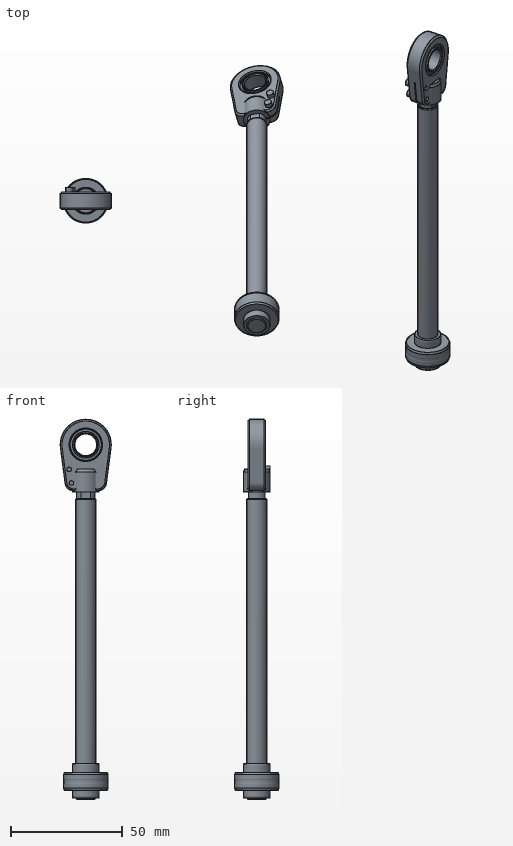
import cadquery as cq
import math

TOTAL_HEIGHT = 170.37
EYE_RADIUS = 11.45
EYE_Z = TOTAL_HEIGHT - EYE_RADIUS

HEAD_THICKNESS = 8.0
HEAD_EDGE_CHAMFER = 0.8
HEAD_TAPER_ANGLE = 7.5
HEAD_CORNER_RADIUS = 4.0
HEAD_BOTTOM_Z = 138.3

EYE_BORE_DIAMETER = 9.8
EYE_BORE_CHAMFER = 0.5
EYE_BALL_FACE_DIAMETER = 12.0
EYE_RACE_DIAMETER = 15.0
EYE_RACE_CHAMFER = 0.5
EYE_GROOVE_DEPTH = 1.0

BOSS_DIAMETER = 12.0
BOSS_BOTTOM_Z = 137.8
BOSS_TOP_Z = 148.0
BOSS_SIDE_FILLET = 0.4
BOSS_TOP_CHAMFER = 0.6
BOSS_TOP_CHAMFER_HEIGHT = 1.2

SLOT_WIDTH = 0.6
SLOT_TOP_Z = 150.8
SLOT_END_X = -4.5
SCREW_CENTRES = [(-7.4, 147.9), (-6.4, 141.8)]
SCREW_HEAD_DIAMETER = 3.2
SCREW_HEAD_HEIGHT = 2.0
SCREW_HEAD_OVERLAP = 1.0
SCREW_HOLE_DIAMETER = 2.0
SCREW_HOLE_DEPTH = 1.0

ROD_DIAMETER = 9.0
ROD_TOP_Z = 134.9
ROD_CHAMFER = 0.5
NECK_DIAMETER = 8.5
NECK_FLAT_WIDTH = 7.4

SLEEVE_DIAMETER = 12.0
SLEEVE_BOTTOM_Z = 0.5
SLEEVE_TOP_Z = 16.0
SLEEVE_CHAMFER_HEIGHT = 0.8
SLEEVE_CHAMFER = 0.2
RING_DIAMETER = 20.0
RING_WIDTH = 8.0
RING_MIDDLE_Z = 8.0
RING_CHAMFER_HEIGHT = 1.0
RING_CHAMFER = 0.4
RING_GROOVE_DIAMETER = 19.8
RING_GROOVE_WIDTH = 2.0
RING_GROOVE_FLOOR_WIDTH = 1.0


def rod_cylinder(diameter, bottom, top):
    """Cylinder on the rod axis between two heights."""
    return cq.Workplane("XY").workplane(offset=bottom).circle(diameter / 2).extrude(top - bottom)


def cross_cylinder(x, z, diameter, y_start, y_end):
    """Cylinder parallel to Y between two Y positions."""
    plane = cq.Plane(origin=(x, y_start, z), xDir=(1, 0, 0), normal=(0, 1, 0))
    return cq.Workplane(plane).circle(diameter / 2).extrude(y_end - y_start)


def make_head_plate():
    """Teardrop plate: round eye, tapering sides tangent to it and rounded lower corners."""
    taper = math.radians(HEAD_TAPER_ANGLE)
    tangent_x = EYE_RADIUS * math.cos(taper)
    tangent_z = EYE_Z - EYE_RADIUS * math.sin(taper)
    bottom_x = tangent_x - (tangent_z - HEAD_BOTTOM_Z) * math.tan(taper)
    plate = (
        cq.Workplane("XZ")
        .moveTo(-bottom_x, HEAD_BOTTOM_Z)
        .lineTo(bottom_x, HEAD_BOTTOM_Z)
        .lineTo(tangent_x, tangent_z)
        .threePointArc((0, EYE_Z + EYE_RADIUS), (-tangent_x, tangent_z))
        .close()
        .extrude(HEAD_THICKNESS / 2, both=True)
    )
    plate = plate.edges("|Y").edges("<Z").fillet(HEAD_CORNER_RADIUS)
    return plate.faces("<Y or >Y").edges().chamfer(HEAD_EDGE_CHAMFER)


def make_boss():
    """Round shank boss, bevelled at its upper end."""
    boss = rod_cylinder(BOSS_DIAMETER, BOSS_BOTTOM_Z, BOSS_TOP_Z)
    return boss.faces(">Z").chamfer(BOSS_TOP_CHAMFER_HEIGHT, BOSS_TOP_CHAMFER)


def fillet_boss_sides(head):
    """Small fillets where the sides of the boss leave the flat faces of the head plate."""
    half = HEAD_THICKNESS / 2
    half_chord = math.sqrt((BOSS_DIAMETER / 2) ** 2 - half**2)
    sides = cq.selectors.BoxSelector(
        (-half_chord - BOSS_SIDE_FILLET, -half - BOSS_SIDE_FILLET, HEAD_BOTTOM_Z),
        (half_chord + BOSS_SIDE_FILLET, half + BOSS_SIDE_FILLET, BOSS_TOP_Z),
    )
    return head.edges("|Z").edges(sides).fillet(BOSS_SIDE_FILLET)


def revolve_about_eye(profile):
    """Turn a (radius, y) profile about the eye axis, which runs along Y."""
    turned = cq.Workplane("XY").polyline(profile).close().revolve(360, (0, 0, 0), (0, 1, 0))
    return turned.translate((0, 0, EYE_Z))


def cut_eye(head):
    """Bevelled bore of the ball and, on both faces, the ring groove between ball and race."""
    bore_radius = EYE_BORE_DIAMETER / 2
    ball_radius = EYE_BALL_FACE_DIAMETER / 2
    race_radius = EYE_RACE_DIAMETER / 2
    face = HEAD_THICKNESS / 2
    floor = face - EYE_GROOVE_DEPTH
    bore_profile = [
        (0, -face),
        (bore_radius + EYE_BORE_CHAMFER, -face),
        (bore_radius, EYE_BORE_CHAMFER - face),
        (bore_radius, face - EYE_BORE_CHAMFER),
        (bore_radius + EYE_BORE_CHAMFER, face),
        (0, face),
    ]
    groove_profile = [
        (ball_radius, floor),
        (race_radius - EYE_RACE_CHAMFER, floor),
        (race_radius - EYE_RACE_CHAMFER, face - EYE_RACE_CHAMFER),
        (race_radius, face),
        (ball_radius, face),
    ]
    bore = revolve_about_eye(bore_profile)
    groove = revolve_about_eye(groove_profile)
    return head.cut(bore).cut(groove).cut(groove.mirror("XZ"))


def cut_clamp_slot(head):
    """Slot that splits the -X side of the head, open at the bottom."""
    length = SLOT_END_X + EYE_RADIUS
    height = SLOT_TOP_Z - BOSS_BOTTOM_Z
    slot = cq.Workplane("XY").box(length, SLOT_WIDTH, height, centered=(False, True, False))
    return head.cut(slot.translate((-EYE_RADIUS, 0, BOSS_BOTTOM_Z)))


def add_clamp_screws(head):
    """Screw heads on the +Y face with their blind holes on the -Y face."""
    half = HEAD_THICKNESS / 2
    root = half - SCREW_HEAD_OVERLAP
    for x, z in SCREW_CENTRES:
        head = head.union(cross_cylinder(x, z, SCREW_HEAD_DIAMETER, root, half + SCREW_HEAD_HEIGHT))
        head = head.cut(cross_cylinder(x, z, SCREW_HOLE_DIAMETER, -half, SCREW_HOLE_DEPTH - half))
    return head


def make_rod():
    """Round rod with bevelled ends and a neck with two wrench flats below the head."""
    rod = rod_cylinder(ROD_DIAMETER, 0, ROD_TOP_Z).faces("<Z or >Z").chamfer(ROD_CHAMFER)
    neck = rod_cylinder(NECK_DIAMETER, ROD_TOP_Z, BOSS_BOTTOM_Z)
    neck_height = BOSS_BOTTOM_Z - ROD_TOP_Z
    flats = cq.Workplane("XY").box(NECK_DIAMETER, NECK_FLAT_WIDTH, neck_height, centered=(True, True, False))
    neck = neck.intersect(flats.translate((0, 0, ROD_TOP_Z)))
    return rod.union(neck)


def make_ring():
    """Bevelled outer ring with a shallow slope-sided groove around its middle."""
    radius = RING_DIAMETER / 2
    groove_radius = RING_GROOVE_DIAMETER / 2
    half_width = RING_WIDTH / 2
    half_profile = [
        (groove_radius, RING_GROOVE_FLOOR_WIDTH / 2),
        (radius, RING_GROOVE_WIDTH / 2),
        (radius, half_width - RING_CHAMFER_HEIGHT),
        (radius - RING_CHAMFER, half_width),
        (0, half_width),
    ]
    lower_half = [(x, -z) for x, z in reversed(half_profile)]
    ring = cq.Workplane("XZ").polyline(lower_half + half_profile).close().revolve(360, (0, 0, 0), (0, 1, 0))
    return ring.translate((0, 0, RING_MIDDLE_Z))


def make_lower_bearing():
    """Bevelled sleeve carrying the outer ring."""
    sleeve = rod_cylinder(SLEEVE_DIAMETER, SLEEVE_BOTTOM_Z, SLEEVE_TOP_Z)
    sleeve = sleeve.faces("<Z or >Z").chamfer(SLEEVE_CHAMFER_HEIGHT, SLEEVE_CHAMFER)
    return sleeve.union(make_ring())


head = fillet_boss_sides(make_head_plate().union(make_boss()))
head = add_clamp_screws(cut_clamp_slot(cut_eye(head)))
result = head.union(make_rod()).union(make_lower_bearing())